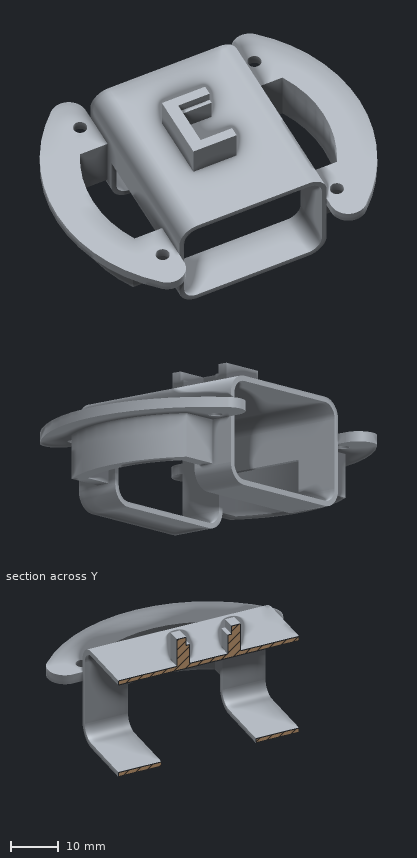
import cadquery as cq
import math

sleeve_length = 42.2
sleeve_width = 34.6
sleeve_height = 23.6
sleeve_wall = 1.15
sleeve_corner_radius = 4.25
notch_width = 22.0
notch_height = 12.0

flange_radius = 35.5
flange_end_radius = 4.0
flange_bottom = 14.1
flange_thickness = 2.2
hole_diameter = 3.0
hole_x = 19.5
hole_y = 20.45

skirt_radius = 30.2
skirt_width = 31.95
skirt_bottom = 4.7
window_radius = 27.05
window_width = 25.85

socket_width = 14.9
socket_front = -7.25
socket_back = 2.9
socket_height = 6.6
slot_width = 8.8
slot_front = -4.25
slot_mouth_width = 10.6
slot_mouth_front = -4.5
slot_mouth_depth = 2.0

side_y = sleeve_width / 2
flange_top = flange_bottom + flange_thickness


def block(width, y_start, y_end, z_start, z_end):
    """Box centred on X between the given Y and Z limits."""
    size_y = y_end - y_start
    return (
        cq.Workplane("XY")
        .box(width, size_y, z_end - z_start, centered=(True, False, False))
        .translate((0, y_start, z_start))
    )


def arc_segment(width, radius, z_start, z_end):
    """Solid from the sleeve side out to an arc centred on the Z axis."""
    disc = cq.Workplane("XY").workplane(offset=z_start).circle(radius).extrude(z_end - z_start)
    return disc.intersect(block(width, side_y, radius, z_start, z_end))


def make_sleeve():
    inner_radius = sleeve_corner_radius - sleeve_wall
    outer = cq.Workplane("XY").box(sleeve_length, sleeve_width, sleeve_height)
    outer = outer.edges("|X").fillet(sleeve_corner_radius)
    inner = cq.Workplane("XY").box(
        sleeve_length, sleeve_width - 2 * sleeve_wall, sleeve_height - 2 * sleeve_wall
    )
    inner = inner.edges("|X").fillet(inner_radius)
    sleeve = outer.cut(inner).translate((0, 0, sleeve_height / 2))
    return sleeve.cut(block(notch_width, -side_y, side_y, 0, notch_height))


def make_flange():
    end_y = side_y + flange_end_radius
    center_distance = flange_radius - flange_end_radius
    end_x = math.sqrt(center_distance**2 - end_y**2)
    tangent_x = end_x * flange_radius / center_distance
    tangent_y = end_y * flange_radius / center_distance
    return (
        cq.Workplane("XY")
        .workplane(offset=flange_bottom)
        .moveTo(-end_x, side_y)
        .lineTo(end_x, side_y)
        .threePointArc((end_x + flange_end_radius, end_y), (tangent_x, tangent_y))
        .threePointArc((0, flange_radius), (-tangent_x, tangent_y))
        .threePointArc((-end_x - flange_end_radius, end_y), (-end_x, side_y))
        .close()
        .extrude(flange_thickness)
    )


def make_side():
    skirt = arc_segment(skirt_width, skirt_radius, skirt_bottom, flange_bottom)
    window = arc_segment(window_width, window_radius, skirt_bottom, flange_top)
    holes = (
        cq.Workplane("XY")
        .workplane(offset=skirt_bottom)
        .pushPoints([(-hole_x, hole_y), (hole_x, hole_y)])
        .circle(hole_diameter / 2)
        .extrude(flange_top - skirt_bottom)
    )
    return make_flange().union(skirt).cut(window).cut(holes)


def make_socket():
    top = sleeve_height + socket_height
    body = block(socket_width, socket_front, socket_back, sleeve_height, top)
    slot = block(slot_width, slot_front, socket_back, sleeve_height, top)
    mouth = block(slot_mouth_width, slot_mouth_front, socket_back, top - slot_mouth_depth, top)
    return body.cut(slot).cut(mouth)


side = make_side()
result = make_sleeve().union(side).union(side.mirror("XZ")).union(make_socket())